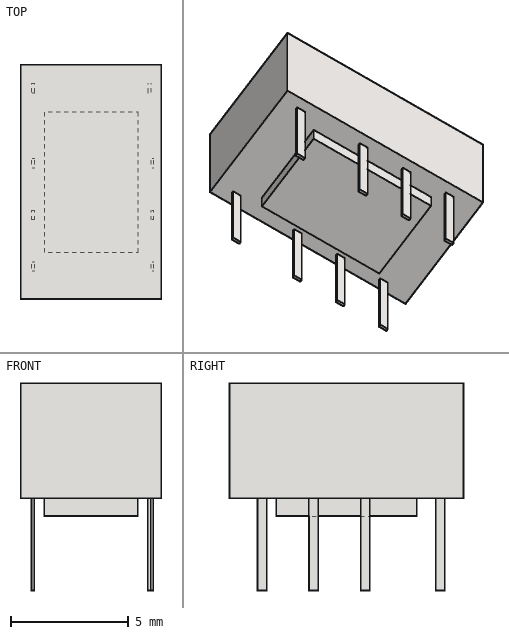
import cadquery as cq

body_width = 6.0
body_length = 10.0
total_height = 8.85
pin_length = 3.93
body_height = total_height - pin_length

pad_width = 4.0
pad_length = 6.0
pad_height = 0.75

pin_thickness = 0.12
pin_width = 0.4
row_offset = 2.48
pin_pitch = 2.2
first_pin_y = -3.6
last_pin_y = 4.0
pin_positions = [first_pin_y, first_pin_y + pin_pitch, first_pin_y + 2 * pin_pitch, last_pin_y]
outward_shift = pin_thickness


def pin(x, y):
    """Flat pin hanging from the underside of the housing, centred on x, y."""
    return (
        cq.Workplane("XY")
        .center(x, y)
        .rect(pin_thickness, pin_width)
        .extrude(-pin_length)
    )


result = cq.Workplane("XY").rect(body_width, body_length).extrude(body_height)
result = result.union(cq.Workplane("XY").rect(pad_width, pad_length).extrude(-pad_height))

for pin_y in pin_positions:
    right_shift = 0.0 if pin_y == last_pin_y else outward_shift
    result = result.union(pin(-row_offset, pin_y))
    result = result.union(pin(row_offset + right_shift, pin_y))